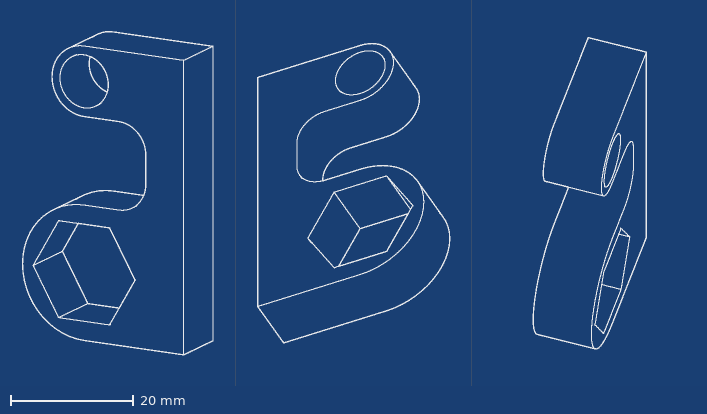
import cadquery as cq

thickness = 10.0
upper_radius = 6.0
lower_radius = 11.5
slot_height = 15.0
slot_corner_radius = 5.0
spine_width = 7.1
axis_to_back = 18.6
pin_hole_diameter = 9.0
hex_across_corners = 19.0

slot_floor = 2 * lower_radius
slot_ceiling = slot_floor + slot_height
height = slot_ceiling + 2 * upper_radius
upper_axis = slot_ceiling + upper_radius
slot_wall = axis_to_back - spine_width


def front_plane():
    """XZ sketch plane on the front face; negative extrusion runs toward +Y."""
    return cq.Workplane(cq.Plane(origin=(0, 0, 0), xDir=(1, 0, 0), normal=(0, -1, 0)))


def make_body():
    """Spine with two rounded eyes separated by an open slot."""
    body = (
        front_plane()
        .moveTo(0, 0)
        .lineTo(axis_to_back, 0)
        .lineTo(axis_to_back, height)
        .lineTo(0, height)
        .threePointArc((-upper_radius, upper_axis), (0, slot_ceiling))
        .lineTo(slot_wall, slot_ceiling)
        .lineTo(slot_wall, slot_floor)
        .lineTo(0, slot_floor)
        .threePointArc((-lower_radius, lower_radius), (0, 0))
        .close()
        .extrude(-thickness)
    )
    corner_margin = 0.5
    slot_corners = cq.selectors.BoxSelector(
        (slot_wall - corner_margin, 0, slot_floor - corner_margin),
        (slot_wall + corner_margin, thickness, slot_ceiling + corner_margin),
    )
    return body.edges("|Y").edges(slot_corners).fillet(slot_corner_radius)


def make_pin_hole():
    """Round through hole in the upper eye."""
    return front_plane().center(0, upper_axis).circle(pin_hole_diameter / 2).extrude(-thickness)


def make_hex_hole():
    """Hexagonal through hole in the lower eye, corners pointing along X."""
    return front_plane().center(0, lower_radius).polygon(6, hex_across_corners).extrude(-thickness)


result = make_body().cut(make_pin_hole()).cut(make_hex_hole())